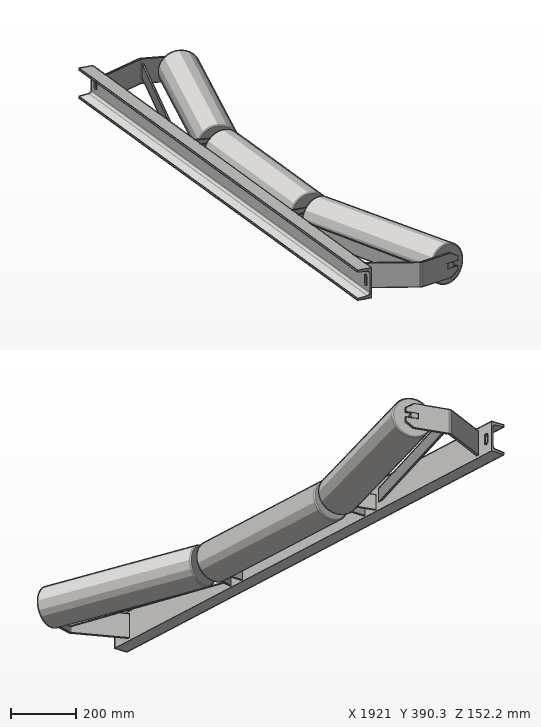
import cadquery as cq
import math


OVERALL_WIDTH = 1921.0

CHANNEL_LENGTH = 1902.0
CHANNEL_HEIGHT = 100.0
FLANGE_DEPTH = 48.0
WEB_THICKNESS = 5.0
FLANGE_TIP = 6.7
FLANGE_SLOPE = math.radians(5)
ROOT_RADIUS = 8.6
CHANNEL_SLOT_LENGTH = 36.0
CHANNEL_SLOT_WIDTH = 17.0
CHANNEL_SLOT_X = 922.0

ROLLER_DIAMETER = 133.0
ROLLER_LENGTH = 595.0
ROLLER_EDGE_RADIUS = 4.0
SHAFT_DIAMETER = 25.0
SHAFT_FLATS = 17.0
TROUGH_ANGLE = math.radians(15)
SKEW_ANGLE = math.radians(1.8)
CENTRE_ROLLER_Y = 120.0
CENTRE_ROLLER_Z = -20.0
SIDE_ROLLER_X = 626.0
SIDE_ROLLER_Y = 202.0
SIDE_ROLLER_Z = CENTRE_ROLLER_Z / 2

OUTER_THICKNESS = 8.0
OUTER_WIDTH = 80.0
OUTER_FOOT_ANGLE = math.radians(25)
OUTER_BEND_Y = 167.0
OUTER_BEND_RADIUS = 12.0
OUTER_ARM_LENGTH = 148.0
ARM_CORNER_LENGTH = 27.0
ARM_CORNER_WIDTH = 17.0
BEND_TANGENT = OUTER_BEND_RADIUS * math.tan((TROUGH_ANGLE + OUTER_FOOT_ANGLE) / 2)
OUTER_BEND_X = (
    (OVERALL_WIDTH - OUTER_THICKNESS) / 2
    - OUTER_BEND_RADIUS * (1 - math.cos(TROUGH_ANGLE))
    + BEND_TANGENT * math.sin(TROUGH_ANGLE)
)

INNER_THICKNESS = 5.0
INNER_WIDTH = 50.0
INNER_LEG_X = 310.0
INNER_TOP_Y = 146.0
INNER_TOP_WIDTH = 17.0
INNER_TOP_X = INNER_LEG_X + INNER_TOP_WIDTH
INNER_BEND_RADIUS = 5.0

BRACE_THICKNESS = 5.0
BRACE_WIDTH = 46.0
BRACE_RISE = 8.0
BRACE_FOOT_X = 390.0

CLEARANCE = 20.0

AXIS_DIRECTION = cq.Vector(math.cos(TROUGH_ANGLE), math.sin(TROUGH_ANGLE), 0)
ARM_DIRECTION = cq.Vector(-math.sin(TROUGH_ANGLE), math.cos(TROUGH_ANGLE), 0)

CENTRE_FRAME = cq.Plane((0, CENTRE_ROLLER_Y, CENTRE_ROLLER_Z), xDir=(0, 1, 0), normal=(1, 0, 0))
SIDE_FRAME = cq.Plane(
    (SIDE_ROLLER_X, SIDE_ROLLER_Y, SIDE_ROLLER_Z),
    xDir=ARM_DIRECTION,
    normal=AXIS_DIRECTION * math.cos(SKEW_ANGLE) + cq.Vector(0, 0, math.sin(SKEW_ANGLE)),
)

OUTER_BEND = cq.Vector(OUTER_BEND_X, OUTER_BEND_Y, 0)
ARM_TIP = OUTER_BEND + ARM_DIRECTION * OUTER_ARM_LENGTH
INNER_TOP = cq.Vector(INNER_TOP_X, INNER_TOP_Y, 0)
CENTRE_SHAFT_END = INNER_LEG_X + INNER_THICKNESS / 2
SIDE_SHAFT_OUTER_END = (OUTER_BEND - SIDE_FRAME.origin).dot(AXIS_DIRECTION) + OUTER_THICKNESS / 2
SIDE_SHAFT_INNER_END = (INNER_TOP - SIDE_FRAME.origin).dot(AXIS_DIRECTION) - INNER_THICKNESS / 2


def make_channel():
    """Channel with sloping inner flange faces, filleted roots and a slot near each end."""
    half_height = CHANNEL_HEIGHT / 2
    tip_z = half_height - FLANGE_TIP
    root_z = tip_z - (FLANGE_DEPTH - WEB_THICKNESS) * math.tan(FLANGE_SLOPE)
    profile = [
        (0, -half_height),
        (-FLANGE_DEPTH, -half_height),
        (-FLANGE_DEPTH, -tip_z),
        (-WEB_THICKNESS, -root_z),
        (-WEB_THICKNESS, root_z),
        (-FLANGE_DEPTH, tip_z),
        (-FLANGE_DEPTH, half_height),
        (0, half_height),
    ]
    start = cq.Workplane("YZ").workplane(offset=-CHANNEL_LENGTH / 2)
    channel = start.polyline(profile).close().extrude(CHANNEL_LENGTH)
    for root in ((0, -WEB_THICKNESS, -root_z), (0, -WEB_THICKNESS, root_z)):
        channel = channel.edges(cq.selectors.NearestToPointSelector(root)).fillet(ROOT_RADIUS)
    slots = (
        cq.Workplane("XZ", origin=(0, CLEARANCE, 0))
        .pushPoints([(-CHANNEL_SLOT_X, 0), (CHANNEL_SLOT_X, 0)])
        .slot2D(CHANNEL_SLOT_LENGTH, CHANNEL_SLOT_WIDTH, 90)
        .extrude(WEB_THICKNESS + 2 * CLEARANCE)
    )
    return channel.cut(slots)


def make_roller(frame, shaft_start, shaft_end):
    """Roller on a shaft with two flats, which runs between two places on the roller axis."""
    drum = cq.Workplane(frame).workplane(offset=-ROLLER_LENGTH / 2)
    drum = drum.circle(ROLLER_DIAMETER / 2).extrude(ROLLER_LENGTH)
    drum = drum.edges("%CIRCLE").fillet(ROLLER_EDGE_RADIUS)
    shaft_plane = cq.Workplane(frame).workplane(offset=shaft_start)
    shaft_length = shaft_end - shaft_start
    shaft = shaft_plane.circle(SHAFT_DIAMETER / 2).extrude(shaft_length)
    flats = shaft_plane.rect(SHAFT_DIAMETER, SHAFT_FLATS).extrude(shaft_length)
    return drum.union(shaft.intersect(flats))


def shaft_slot(frame, start, end):
    """Cutter for an open slot that seats the shaft, between two places on the roller axis."""
    depth = ROLLER_DIAMETER
    plane = cq.Workplane(frame).workplane(offset=start)
    return plane.center((depth - SHAFT_DIAMETER) / 2, 0).rect(depth, SHAFT_FLATS).extrude(end - start)


def strip(corners, width, thickness, bend_radius=None):
    """Flat strip standing along Z, bent along a path through the given corners."""
    path = cq.Wire.makePolygon(corners)
    if bend_radius:
        path = path.fillet(bend_radius)
    section = cq.Workplane(cq.Plane(corners[0], xDir=(0, 0, 1), normal=corners[1] - corners[0]))
    return section.rect(width, thickness).sweep(cq.Workplane(path))


def trim_at_channel(body):
    """Remove what reaches through the back of the channel web."""
    size = OVERALL_WIDTH
    return body.cut(cq.Workplane("XY").box(size, size, size).translate((0, -size / 2, 0)))


def arm_corner(side):
    """Cutter for one bevelled corner at the tip of an outer bracket arm."""
    edge = side * OUTER_WIDTH / 2
    tip_plane = cq.Plane(ARM_TIP, xDir=(0, 0, 1), normal=AXIS_DIRECTION * -1)
    corner = [(edge, 0), (edge - side * ARM_CORNER_WIDTH, 0), (edge, -ARM_CORNER_LENGTH)]
    return cq.Workplane(tip_plane).polyline(corner).close().extrude(CLEARANCE, both=True)


def make_outer_bracket():
    foot_x = OUTER_BEND_X - (OUTER_BEND_Y + CLEARANCE) * math.tan(OUTER_FOOT_ANGLE)
    corners = [cq.Vector(foot_x, -CLEARANCE, 0), OUTER_BEND, ARM_TIP]
    bracket = trim_at_channel(strip(corners, OUTER_WIDTH, OUTER_THICKNESS, OUTER_BEND_RADIUS))
    for side in (-1, 1):
        bracket = bracket.cut(arm_corner(side))
    return bracket.cut(shaft_slot(SIDE_FRAME, 0, SIDE_SHAFT_OUTER_END + CLEARANCE))


def make_inner_bracket():
    foot_x = INNER_TOP_X + (INNER_TOP_Y + CLEARANCE) * math.tan(TROUGH_ANGLE)
    corners = [
        cq.Vector(INNER_LEG_X, -CLEARANCE, 0),
        cq.Vector(INNER_LEG_X, INNER_TOP_Y, 0),
        INNER_TOP,
        cq.Vector(foot_x, -CLEARANCE, 0),
    ]
    bracket = trim_at_channel(strip(corners, INNER_WIDTH, INNER_THICKNESS, INNER_BEND_RADIUS))
    bracket = bracket.translate((0, 0, CENTRE_ROLLER_Z))
    bracket = bracket.cut(shaft_slot(CENTRE_FRAME, 0, CENTRE_SHAFT_END))
    return bracket.cut(shaft_slot(SIDE_FRAME, SIDE_SHAFT_INNER_END, 0))


def make_brace(bracket):
    """Straight strip that ends on the inside face of the outer bracket and on the channel."""
    start = OUTER_BEND + ARM_DIRECTION * BRACE_RISE
    foot = cq.Vector(BRACE_FOOT_X, 0, 0)
    end = foot + (foot - start).normalized() * (CLEARANCE / math.sin(TROUGH_ANGLE))
    brace = trim_at_channel(strip([start, end], BRACE_WIDTH, BRACE_THICKNESS))
    return brace.cut(bracket)


channel = make_channel()
centre_roller = make_roller(CENTRE_FRAME, -CENTRE_SHAFT_END, CENTRE_SHAFT_END)
side_roller = make_roller(SIDE_FRAME, SIDE_SHAFT_INNER_END, SIDE_SHAFT_OUTER_END)
outer_bracket = make_outer_bracket()
inner_bracket = make_inner_bracket()
brace = make_brace(outer_bracket)

bodies = [channel.val(), centre_roller.val()]
for body in (side_roller, outer_bracket, inner_bracket, brace):
    solid = body.solids().val()
    bodies.append(solid)
    bodies.append(solid.mirror("YZ"))

result = cq.Compound.makeCompound(bodies)